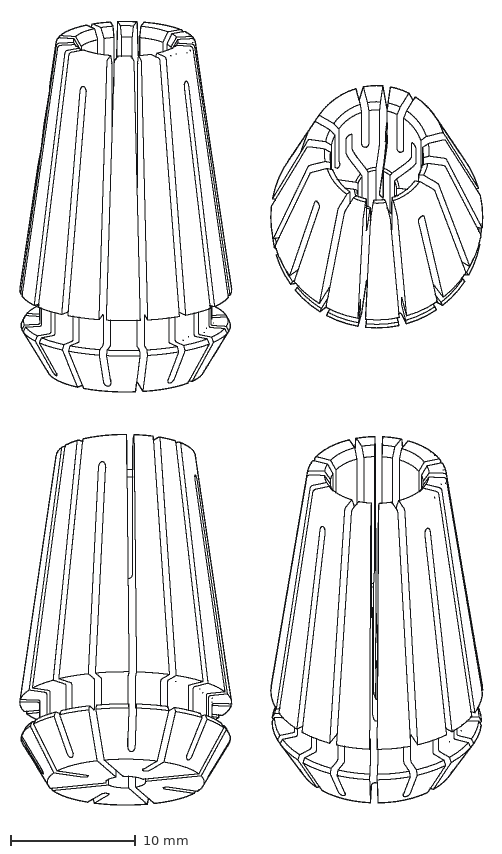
import cadquery as cq
import math

height = 27.5
groove_top = 6.65
groove_bottom = 4.05
nose_rim_z = 3.65

body_radius = 8.5
body_taper = math.radians(8)
groove_radius = 6.92
nose_radius = 8.4
nose_taper = math.radians(30)
nose_rim_setback = 0.2
groove_fillet = 0.15
top_fillet = 0.25
selection_margin = 0.1

small_bore_radius = 1.58
large_bore_radius = 3.73
step_z = 15.8
step_fillet = 0.75
small_bore_chamfer = 0.2
mouth_radius = 4.2
mouth_depth = 0.8

quarter_slots = 4
fine_slots = 8
slot_width = 0.6
slot_reach = 12.0
overshoot = 3.0

closed_top_floor = ((large_bore_radius, 21.4), (5.93, 25.2))
open_nose_floor = ((small_bore_radius, 4.73), (3.4, 0.0))
closed_nose_floor = ((3.5, 16.0), (6.61, 0.5))


def make_body():
    """Revolve the outer profile: nose cone, extraction groove and 8 degree body."""
    nose_face_radius = nose_radius - nose_rim_z * math.tan(nose_taper)
    top_radius = body_radius - (height - groove_top) * math.tan(body_taper)
    body = (
        cq.Workplane("XZ")
        .moveTo(0, 0)
        .lineTo(nose_face_radius, 0)
        .lineTo(nose_radius, nose_rim_z)
        .lineTo(nose_radius - nose_rim_setback, groove_bottom)
        .lineTo(groove_radius, groove_bottom)
        .lineTo(groove_radius, groove_top)
        .lineTo(body_radius, groove_top)
        .lineTo(top_radius, height)
        .lineTo(0, height)
        .close()
        .revolve(360, (0, 0, 0), (0, 1, 0))
    )
    box_radius = groove_radius + selection_margin
    groove_corners = cq.selectors.BoxSelector(
        (-box_radius, -box_radius, groove_bottom - selection_margin),
        (box_radius, box_radius, groove_top + selection_margin),
        boundingbox=True,
    )
    body = body.edges(groove_corners).edges("%CIRCLE").fillet(groove_fillet)
    return body.faces(">Z").edges().fillet(top_fillet)


def make_bore():
    """Small clamping bore, filleted step, large relief bore and flared mouth."""
    fillet_center_r = large_bore_radius - step_fillet
    fillet_center_z = step_z + step_fillet
    fillet_middle = (
        fillet_center_r + step_fillet * math.sqrt(0.5),
        fillet_center_z - step_fillet * math.sqrt(0.5),
    )
    return (
        cq.Workplane("XZ")
        .moveTo(0, 0)
        .lineTo(small_bore_radius, 0)
        .lineTo(small_bore_radius, step_z - small_bore_chamfer)
        .lineTo(small_bore_radius + small_bore_chamfer, step_z)
        .lineTo(fillet_center_r, step_z)
        .threePointArc(fillet_middle, (large_bore_radius, fillet_center_z))
        .lineTo(large_bore_radius, height - mouth_depth)
        .lineTo(mouth_radius, height)
        .lineTo(0, height)
        .close()
        .revolve(360, (0, 0, 0), (0, 1, 0))
    )


def make_slot(floor, open_z):
    """Radial slot along +X, open towards open_z, with a round sloping floor."""
    (inner_r, inner_z), (outer_r, outer_z) = floor
    slope = (outer_z - inner_z) / (outer_r - inner_r)
    half_width = slot_width / 2
    side = math.copysign(1, open_z - inner_z)
    lift = side * half_width * math.hypot(1, slope)

    def axis_z(radius):
        return inner_z + slope * (radius - inner_r) + lift

    start = (0, axis_z(0))
    end = (slot_reach, axis_z(slot_reach))
    far_z = side * max(side * open_z, side * start[1], side * end[1]) + side * overshoot
    web = (
        cq.Workplane("XZ")
        .polyline([start, end, (slot_reach, far_z), (0, far_z)])
        .close()
        .extrude(half_width, both=True)
    )
    floor_length = math.hypot(slot_reach, end[1] - start[1])
    round_floor = cq.Solid.makeCylinder(
        half_width,
        floor_length,
        cq.Vector(start[0], 0, start[1]),
        cq.Vector(slot_reach, 0, end[1] - start[1]),
    )
    return web.union(cq.Workplane(round_floor))


def cut_slots(part, slot, count, first_angle):
    """Cut equally spaced copies of a slot around the Z axis."""
    for index in range(count):
        angle = first_angle + index * 360 / count
        part = part.cut(slot.rotate((0, 0, 0), (0, 0, 1), angle))
    return part


result = make_body().cut(make_bore())
result = cut_slots(result, make_slot(closed_top_floor, 0), quarter_slots, 0)
result = cut_slots(result, make_slot(open_nose_floor, height), quarter_slots, 180 / quarter_slots)
result = cut_slots(result, make_slot(closed_nose_floor, height), fine_slots, 180 / fine_slots)